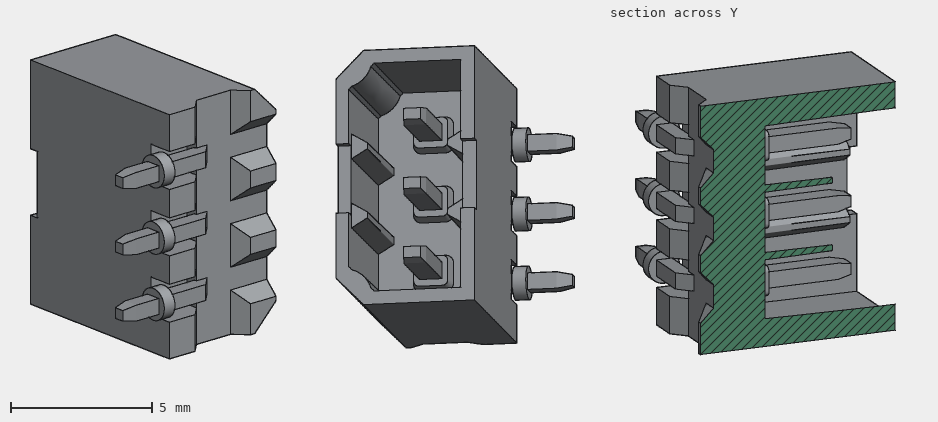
import cadquery as cq
import math


PIN_COUNT = 3
PITCH = 2.5
PIN_POSITIONS = [(i - (PIN_COUNT - 1) / 2) * PITCH for i in range(PIN_COUNT)]
RIB_POSITIONS = [(i - (PIN_COUNT - 2) / 2) * PITCH for i in range(PIN_COUNT - 1)]

LENGTH = 7.5
HEIGHT = 5.0
WIDTH = 9.2
CORNER_CHAMFER = 1.0

NEAR_WALL = 0.5
END_WALL = 0.48
FAR_WALL = 0.46
CAVITY_DEPTH = 5.0
CAVITY_DRAFT = 0.5
CAVITY_CORNER = 0.92
CORNER_LEAD = 0.12
CORNER_BULGE = 0.12
MOUTH_NOTCH_DEPTH = 0.37

RIB_START = 0.5
RIB_HEIGHT = 0.57
RIB_BASE = 0.9
RIB_TIP = 0.22

PAD_SIZE_Y = 1.45
PAD_SIZE_Z = 1.3
PAD_CORNER = 0.3
PAD_HEIGHT = 0.5
PAD_INSET = 0.11

CHANNEL_DEPTH = 0.5
CHANNEL_BOTTOM = 1.2
CHANNEL_TOP = 3.8
SLOT_DEPTH = 1.0
SLOT_WIDTH = 1.43
SLOT_HEIGHT = CHANNEL_BOTTOM + CHANNEL_DEPTH
GROOVE_MOUTH = 1.86

PIN_WIDTH = 0.6
PIN_HEIGHT = 0.8
PIN_CENTER_Y = 2.5
PIN_TIP_X = 1.2
TAIL_X = 7.2
TAIL_TIP_Y = -2.1
TIP_LENGTH = 0.55
TIP_INSET = 0.1
BEND_CHAMFER_START = 1.7
COLLAR_RADIUS = 0.6
COLLAR_THICKNESS = 0.5


def taper_angle(inset, length):
    return math.degrees(math.atan2(inset, length))


def housing_block():
    block = cq.Workplane("XY").box(LENGTH, HEIGHT, WIDTH, centered=(False, False, True))
    return block.edges("|X and >Y").chamfer(CORNER_CHAMFER)


def cavity():
    """Drafted cavity whose two far corners are filled by rounded wedges with short 45 degree ends."""
    near = NEAR_WALL
    far = HEIGHT - FAR_WALL
    side = WIDTH / 2 - END_WALL
    corner_y = far - CAVITY_CORNER
    corner_z = side - CAVITY_CORNER
    bulge_offset = CAVITY_CORNER / 2 + CORNER_BULGE / math.sqrt(2)
    bulge_y = far - bulge_offset
    bulge_z = side - bulge_offset
    return (
        cq.Workplane("YZ")
        .moveTo(near, -side)
        .lineTo(corner_y, -side)
        .lineTo(corner_y + CORNER_LEAD, CORNER_LEAD - side)
        .threePointArc((bulge_y, -bulge_z), (far - CORNER_LEAD, -corner_z - CORNER_LEAD))
        .lineTo(far, -corner_z)
        .lineTo(far, corner_z)
        .lineTo(far - CORNER_LEAD, corner_z + CORNER_LEAD)
        .threePointArc((bulge_y, bulge_z), (corner_y + CORNER_LEAD, side - CORNER_LEAD))
        .lineTo(corner_y, side)
        .lineTo(near, side)
        .close()
        .extrude(CAVITY_DEPTH, taper=CAVITY_DRAFT)
    )


def mouth_notch():
    """Shallow recess across both long walls, between the two outer ribs."""
    notch_width = RIB_POSITIONS[-1] - RIB_POSITIONS[0]
    return cq.Workplane("XY").box(
        MOUTH_NOTCH_DEPTH, HEIGHT, notch_width, centered=(False, False, True)
    )


def rib(root_y, wall_y, direction, z):
    """Trapezoidal rib standing on a wall, rooted inside it and growing along direction."""
    tip_y = wall_y + direction * RIB_HEIGHT
    profile = [
        (root_y, z - RIB_BASE / 2),
        (wall_y, z - RIB_BASE / 2),
        (tip_y, z - RIB_TIP / 2),
        (tip_y, z + RIB_TIP / 2),
        (wall_y, z + RIB_BASE / 2),
        (root_y, z + RIB_BASE / 2),
    ]
    return (
        cq.Workplane("YZ")
        .workplane(offset=RIB_START)
        .polyline(profile)
        .close()
        .extrude(CAVITY_DEPTH - RIB_START, taper=-CAVITY_DRAFT)
    )


def pad(z):
    return (
        cq.Workplane("YZ", origin=(CAVITY_DEPTH, PIN_CENTER_Y, z))
        .sketch()
        .rect(PAD_SIZE_Y, PAD_SIZE_Z)
        .vertices()
        .fillet(PAD_CORNER)
        .finalize()
        .extrude(-PAD_HEIGHT, taper=taper_angle(PAD_INSET, PAD_HEIGHT))
    )


def back_channel():
    """Trapezoidal channel with 45 degree sides along the whole back."""
    floor_x = LENGTH - CHANNEL_DEPTH
    profile = [
        (LENGTH, CHANNEL_BOTTOM),
        (floor_x, CHANNEL_BOTTOM + CHANNEL_DEPTH),
        (floor_x, CHANNEL_TOP - CHANNEL_DEPTH),
        (LENGTH, CHANNEL_TOP),
    ]
    return cq.Workplane("XY").polyline(profile).close().extrude(WIDTH / 2, both=True)


def pin_slot(z):
    return cq.Workplane("XY", origin=(LENGTH - SLOT_DEPTH, 0, z)).box(
        SLOT_DEPTH, SLOT_HEIGHT, SLOT_WIDTH, centered=(False, False, True)
    )


def pin_groove(z):
    """Groove with 45 degree sides through the rail above the channel."""
    floor_x = LENGTH - CHANNEL_DEPTH
    floor_half = GROOVE_MOUTH / 2 - CHANNEL_DEPTH
    start_y = CHANNEL_TOP - CHANNEL_DEPTH
    profile = [
        (LENGTH, -GROOVE_MOUTH / 2),
        (floor_x, -floor_half),
        (floor_x, floor_half),
        (LENGTH, GROOVE_MOUTH / 2),
    ]
    return (
        cq.Workplane("XZ", origin=(0, start_y, z))
        .polyline(profile)
        .close()
        .extrude(start_y - HEIGHT)
    )


def pin(z):
    """L-shaped pin with a chamfered bend, two tapered tips and a round collar."""
    contact_start = PIN_TIP_X + TIP_LENGTH
    tail_end = TAIL_TIP_Y + TIP_LENGTH
    tail_inner = TAIL_X - PIN_WIDTH / 2
    tail_outer = TAIL_X + PIN_WIDTH / 2
    pin_bottom = PIN_CENTER_Y - PIN_HEIGHT / 2
    pin_top = PIN_CENTER_Y + PIN_HEIGHT / 2
    bend_end_x = tail_outer - (pin_top - BEND_CHAMFER_START)
    tip_taper = taper_angle(TIP_INSET, TIP_LENGTH)

    outline = [
        (contact_start, pin_bottom),
        (tail_inner, pin_bottom),
        (tail_inner, tail_end),
        (tail_outer, tail_end),
        (tail_outer, BEND_CHAMFER_START),
        (bend_end_x, pin_top),
        (contact_start, pin_top),
    ]
    shank = (
        cq.Workplane("XY", origin=(0, 0, z))
        .polyline(outline)
        .close()
        .extrude(PIN_WIDTH / 2, both=True)
    )
    contact_tip = (
        cq.Workplane("YZ", origin=(contact_start, PIN_CENTER_Y, z))
        .rect(PIN_HEIGHT, PIN_WIDTH)
        .extrude(-TIP_LENGTH, taper=tip_taper)
    )
    tail_tip = (
        cq.Workplane("XZ", origin=(TAIL_X, tail_end, z))
        .rect(PIN_WIDTH, PIN_WIDTH)
        .extrude(TIP_LENGTH, taper=tip_taper)
    )
    collar = (
        cq.Workplane("XZ", origin=(TAIL_X, 0, z))
        .circle(COLLAR_RADIUS)
        .extrude(COLLAR_THICKNESS)
    )
    return shank.union(contact_tip).union(tail_tip).union(collar)


result = housing_block().cut(cavity()).cut(mouth_notch()).cut(back_channel())

for rib_z in RIB_POSITIONS:
    result = result.union(rib(NEAR_WALL / 2, NEAR_WALL, 1, rib_z))
    result = result.union(rib(HEIGHT - FAR_WALL / 2, HEIGHT - FAR_WALL, -1, rib_z))

for pin_z in PIN_POSITIONS:
    result = result.cut(pin_slot(pin_z)).cut(pin_groove(pin_z))
    result = result.union(pad(pin_z)).union(pin(pin_z))